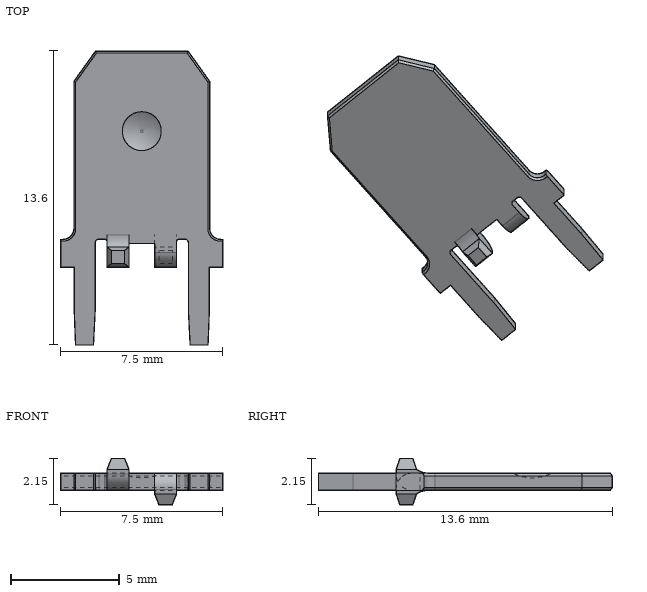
import math

import cadquery as cq

thickness = 0.8
blade_width = 6.29
blade_top = 10.0
tip_bevel_width = 1.0
tip_bevel_length = 1.4

edge_bevel_inset = 0.09
edge_bevel_depth = 0.13

shoulder_width = 7.5
shoulder_top = 1.3
shoulder_arc_radius = 0.5

leg_outer_x = 3.13
leg_inner_x = 2.15
leg_taper_start = -2.0
leg_tip_outer_x = 3.07
leg_tip_inner_x = 2.23
leg_end = -3.6

slot_top = 1.3
slot_leg_radius = 0.16
slot_peg_radius = 0.12
notch_top = 1.1

peg_center_x = 1.1
peg_width = 1.02
outer_bend_start_y = 0.69
outer_bend_end_z = 0.35
inner_bend_start_y = 1.5
peg_depth = 0.95
peg_tip_base_z = 0.57
peg_tip_inset_x = 0.2
peg_tip_inset_y = 0.17
overall_height = 2.15

detent_y = 6.3
detent_radius = 0.9
detent_depth = 0.22
detent_flat_radius = 0.06

half_thickness = thickness / 2
half_blade = blade_width / 2
half_shoulder = shoulder_width / 2
peg_inner_x = peg_center_x - peg_width / 2
peg_outer_x = peg_center_x + peg_width / 2


def blade():
    """Bevelled tab with concave arcs down to the shoulders, cut square at the shoulder ends."""
    trim = 1.0
    arc_center_y = shoulder_top + shoulder_arc_radius
    arc_end_x = half_blade + shoulder_arc_radius
    arc_mid_x = arc_end_x - shoulder_arc_radius * math.cos(math.pi / 4)
    arc_mid_y = arc_center_y - shoulder_arc_radius * math.sin(math.pi / 4)
    bevel_start_y = blade_top - tip_bevel_length
    bevel_end_x = half_blade - tip_bevel_width
    outline = (
        cq.Workplane("XY")
        .moveTo(-half_shoulder - trim, -trim)
        .lineTo(half_shoulder + trim, -trim)
        .lineTo(half_shoulder + trim, shoulder_top)
        .lineTo(arc_end_x, shoulder_top)
        .threePointArc((arc_mid_x, arc_mid_y), (half_blade, arc_center_y))
        .lineTo(half_blade, bevel_start_y)
        .lineTo(bevel_end_x, blade_top)
        .lineTo(-bevel_end_x, blade_top)
        .lineTo(-half_blade, bevel_start_y)
        .lineTo(-half_blade, arc_center_y)
        .threePointArc((-arc_mid_x, arc_mid_y), (-arc_end_x, shoulder_top))
        .lineTo(-half_shoulder - trim, shoulder_top)
        .close()
        .wires()
        .val()
    )
    straight_half = half_thickness - edge_bevel_depth
    bevel_angle = math.degrees(math.atan2(edge_bevel_inset, edge_bevel_depth))
    core = cq.Workplane("XY").add(outline).toPending().extrude(straight_half, both=True)
    rim = (
        cq.Workplane("XY")
        .add(outline)
        .toPending()
        .extrude(edge_bevel_depth, taper=bevel_angle)
        .translate((0, 0, straight_half))
    )
    envelope = cq.Workplane("XY").box(
        shoulder_width, blade_top, thickness, centered=(True, False, True)
    )
    return core.union(rim).union(rim.mirror("XY")).intersect(envelope)


def opening():
    """Gap between the legs, around the two pegs."""
    gap = cq.Workplane("XY").rect(2 * peg_inner_x, 2 * notch_top).extrude(half_thickness, both=True)
    slot = (
        cq.Workplane("XY")
        .center((leg_inner_x + peg_outer_x) / 2, 0)
        .rect(leg_inner_x - peg_outer_x, 2 * slot_top)
        .extrude(half_thickness, both=True)
    )
    slot = slot.edges("|Z and >Y and >X").fillet(slot_leg_radius)
    slot = slot.edges("|Z and >Y and <X").fillet(slot_peg_radius)
    return gap.union(slot).union(slot.mirror("YZ"))


def leg(side):
    """Straight leg that narrows toward its end."""
    return (
        cq.Workplane("XY")
        .polyline(
            [
                (side * leg_outer_x, 0),
                (side * leg_outer_x, leg_taper_start),
                (side * leg_tip_outer_x, leg_end),
                (side * leg_tip_inner_x, leg_end),
                (side * leg_inner_x, leg_taper_start),
                (side * leg_inner_x, 0),
            ]
        )
        .close()
        .extrude(half_thickness, both=True)
    )


def bend_clearance():
    """Corner under the upward peg, outside a bend that ends upright on the peg's outer face."""
    rise = half_thickness + outer_bend_end_z
    outer_radius = (outer_bend_start_y**2 + rise**2) / (2 * outer_bend_start_y)
    half_angle = math.asin(rise / outer_radius) / 2
    bend_mid = (
        outer_radius * (1 - math.cos(half_angle)),
        outer_bend_end_z - outer_radius * math.sin(half_angle),
    )
    return (
        cq.Workplane("YZ")
        .moveTo(0, outer_bend_end_z)
        .threePointArc(bend_mid, (outer_bend_start_y, -half_thickness))
        .lineTo(0, -half_thickness)
        .close()
        .extrude(peg_width / 2, both=True)
        .translate((-peg_center_x, 0, 0))
    )


def raised_peg():
    """Part of the upward peg above the blade: inner bend and pyramid tip."""
    run = inner_bend_start_y - peg_depth
    rise = peg_tip_base_z - half_thickness
    inner_radius = (run**2 + rise**2) / (2 * rise)
    half_angle = math.asin(run / inner_radius) / 2
    bend_mid = (
        inner_bend_start_y - inner_radius * math.sin(half_angle),
        half_thickness + inner_radius * (1 - math.cos(half_angle)),
    )
    neck = (
        cq.Workplane("YZ")
        .moveTo(0, 0)
        .lineTo(inner_bend_start_y, 0)
        .lineTo(inner_bend_start_y, half_thickness)
        .threePointArc(bend_mid, (peg_depth, peg_tip_base_z))
        .lineTo(0, peg_tip_base_z)
        .close()
        .extrude(peg_width / 2, both=True)
    )
    tip_height = overall_height / 2 - peg_tip_base_z
    tip = (
        cq.Workplane("XY", origin=(0, peg_depth / 2, peg_tip_base_z))
        .rect(peg_width, peg_depth)
        .workplane(offset=tip_height)
        .rect(peg_width - 2 * peg_tip_inset_x, peg_depth - 2 * peg_tip_inset_y)
        .loft(ruled=True)
    )
    return neck.union(tip).translate((-peg_center_x, 0, 0))


def detent():
    """Shallow round dish in the upper face, with a tiny flat at its lowest point."""
    run = detent_radius - detent_flat_radius
    dish_radius = (run**2 + detent_depth**2) / (2 * detent_depth)
    half_angle = math.asin(run / dish_radius) / 2
    dish_mid = (
        detent_flat_radius + dish_radius * math.sin(half_angle),
        dish_radius * (1 - math.cos(half_angle)) - detent_depth,
    )
    return (
        cq.Workplane("XZ", origin=(0, detent_y, half_thickness))
        .moveTo(0, 0)
        .lineTo(0, -detent_depth)
        .lineTo(detent_flat_radius, -detent_depth)
        .threePointArc(dish_mid, (detent_radius, 0))
        .close()
        .revolve(360, (0, 0, 0), (0, 1, 0))
    )


def turned_over(shape):
    """The same shape for the downward peg, half a turn about the Y axis."""
    return shape.rotate((0, 0, 0), (0, 1, 0), 180)


result = blade().cut(opening()).union(leg(-1)).union(leg(1))
upward_peg = raised_peg()
corner = bend_clearance()
for peg, clearance in ((upward_peg, corner), (turned_over(upward_peg), turned_over(corner))):
    result = result.union(peg).cut(clearance)
result = result.cut(detent())